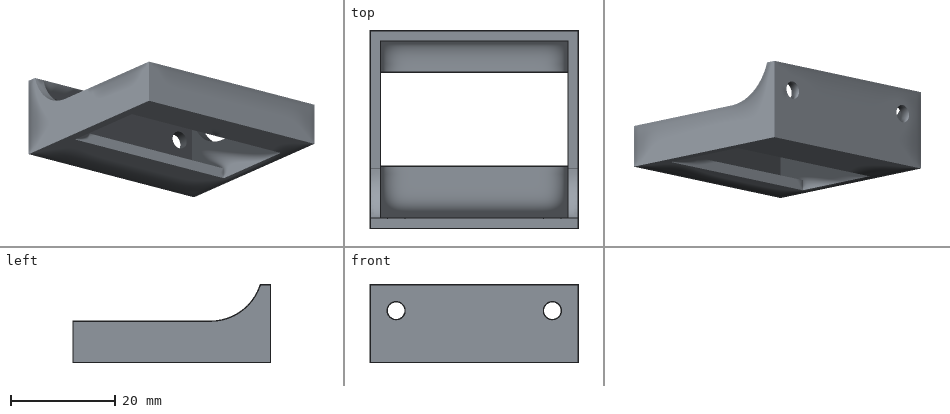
import cadquery as cq
import math

width = 40.0
depth = 38.0
front_height = 15.0
side_height = 8.0
wall = 2.0

ledge_thickness = 2.0
front_ledge_depth = 10.0
back_ledge_depth = 6.0

sweep_radius = 10.0

hole_diameter = 3.4
hole_spacing = 30.0
hole_height = 10.0


def make_body():
    """Side profile, with a sweep tangent to the side wall top, extruded across the width."""
    rise = front_height - side_height
    run = math.sqrt(sweep_radius**2 - (sweep_radius - rise) ** 2)
    sweep_end = wall + run
    half_angle = math.asin(run / sweep_radius) / 2
    sweep_middle = (
        sweep_end - sweep_radius * math.sin(half_angle),
        side_height + sweep_radius * (1 - math.cos(half_angle)),
    )
    return (
        cq.Workplane("YZ")
        .moveTo(0, 0)
        .lineTo(depth, 0)
        .lineTo(depth, side_height)
        .lineTo(sweep_end, side_height)
        .threePointArc(sweep_middle, (wall, front_height))
        .lineTo(0, front_height)
        .close()
        .extrude(width)
    )


def make_cavity():
    """Space above the ledges plus the opening between them."""
    inner_width = width - 2 * wall
    inner_depth = depth - 2 * wall
    opening_depth = inner_depth - front_ledge_depth - back_ledge_depth
    above_ledges = cq.Workplane("XY").box(
        inner_width, inner_depth, front_height, centered=False
    ).translate((wall, wall, ledge_thickness))
    opening = cq.Workplane("XY").box(
        inner_width, opening_depth, front_height, centered=False
    ).translate((wall, wall + front_ledge_depth, 0))
    return above_ledges.union(opening)


def make_holes():
    """Pair of round cutters through the front wall, centred across the width."""
    first_hole = (width - hole_spacing) / 2
    return (
        cq.Workplane("XZ")
        .pushPoints([(first_hole, hole_height), (first_hole + hole_spacing, hole_height)])
        .circle(hole_diameter / 2)
        .extrude(-wall)
    )


result = make_body().cut(make_cavity()).cut(make_holes())